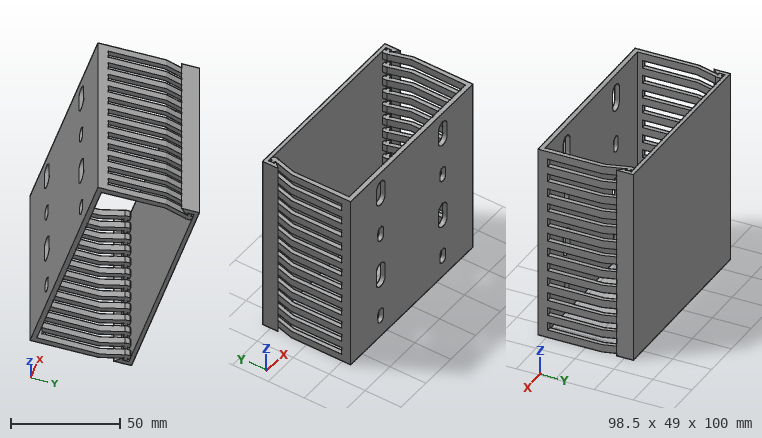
import cadquery as cq
import math

width = 98.5
depth = 49.0
length = 100.0

cover_wall = 2.0
lip_depth = 8.6
catch_depth = 5.0
catch_reach = 2.9

base_wall = 2.5
wall_at_base = 2.5
wall_at_bend = 2.2
bend_y = 33.0
finger_lean = math.radians(16)

head_base_y = 44.0
head_outer_inset = 3.3
head_inner_inset = 5.6
head_chamfer = 0.6
bead_radius = 0.9
bead_inset = cover_wall + bead_radius
bead_y = 45.1

slit_count = 12
slit_floor_y = 5.0
finger_height = length / (2 * slit_count + 1)
finger_pitch = 2 * finger_height

slot_spacing = 50.0
large_slot_length = 14.0
large_slot_width = 6.8
large_slot_z = 37.5
small_slot_length = 8.2
small_slot_width = 4.4
small_slot_z = 12.5

half_width = width / 2
cover_inner_y = depth - cover_wall


def extrude_symmetric(half_outline):
    """Extrude the +X half of a profile over the length and join its mirror image."""
    half = half_outline.close().extrude(length)
    return half.union(half.mirror("YZ")).clean()


def make_cover():
    nose_x = half_width - catch_reach
    nose_y = depth - lip_depth + catch_reach
    catch_top_y = depth - catch_depth
    inner_x = half_width - cover_wall
    half_outline = (
        cq.Workplane("XY")
        .moveTo(0, depth)
        .lineTo(half_width, depth)
        .lineTo(half_width, depth - lip_depth)
        .lineTo(nose_x, nose_y)
        .lineTo(nose_x, catch_top_y)
        .lineTo(inner_x, catch_top_y)
        .lineTo(inner_x, cover_inner_y)
        .lineTo(0, cover_inner_y)
    )
    return extrude_symmetric(half_outline)


def make_channel_shell():
    lean_shift = (head_base_y - bend_y) * math.tan(finger_lean)
    head_outer_x = half_width - head_outer_inset
    head_inner_x = half_width - head_inner_inset
    bead_x = half_width - bead_inset
    half_outline = (
        cq.Workplane("XY")
        .lineTo(half_width, 0)
        .lineTo(half_width, bend_y)
        .lineTo(half_width - lean_shift, head_base_y)
        .lineTo(head_outer_x, head_base_y)
        .lineTo(head_outer_x, bead_y - bead_radius)
        .lineTo(bead_x, bead_y - bead_radius)
        .threePointArc((bead_x + bead_radius, bead_y), (bead_x, bead_y + bead_radius))
        .lineTo(head_outer_x, bead_y + bead_radius)
        .lineTo(head_outer_x, cover_inner_y)
        .lineTo(head_inner_x + head_chamfer, cover_inner_y)
        .lineTo(head_inner_x, cover_inner_y - head_chamfer)
        .lineTo(head_inner_x, head_base_y)
        .lineTo(half_width - wall_at_bend - lean_shift, head_base_y)
        .lineTo(half_width - wall_at_bend, bend_y)
        .lineTo(half_width - wall_at_base, base_wall)
        .lineTo(0, base_wall)
    )
    return extrude_symmetric(half_outline)


def make_slits():
    """Slots across the whole channel that split both side walls into fingers."""
    centers = [(0, (i + 1) * finger_pitch - finger_height / 2) for i in range(slit_count)]
    return (
        cq.Workplane("XZ", origin=(0, slit_floor_y, 0))
        .pushPoints(centers)
        .rect(width, finger_height)
        .extrude(slit_floor_y - depth)
    )


def make_mounting_slots(slot_length, slot_width, lower_z):
    centers = [
        (x, z)
        for x in (-slot_spacing / 2, slot_spacing / 2)
        for z in (lower_z, lower_z + slot_spacing)
    ]
    return (
        cq.Workplane("XZ")
        .pushPoints(centers)
        .slot2D(slot_length, slot_width, 90)
        .extrude(-base_wall)
    )


def make_channel():
    return (
        make_channel_shell()
        .cut(make_slits())
        .cut(make_mounting_slots(large_slot_length, large_slot_width, large_slot_z))
        .cut(make_mounting_slots(small_slot_length, small_slot_width, small_slot_z))
    )


cover = make_cover()
channel = make_channel()

result = cq.Compound.makeCompound([channel.val(), cover.val()])